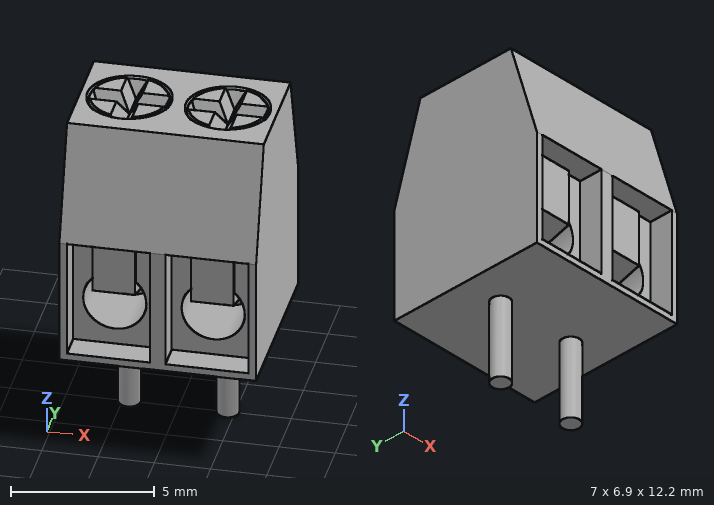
import cadquery as cq
import math

width = 7.0
depth = 6.9
total_height = 12.2
body_height = 8.8
shoulder_height = 4.67
top_depth = 4.39

pitch = width / 2
terminal_centers = [-pitch / 2, pitch / 2]

pin_diameter = 0.8
pin_length = total_height - body_height

pocket_width = 2.95
pocket_bottom = 0.28
pocket_depth = 1.04
hole_radius = 1.12
hole_height = 2.0
leaf_width = 1.5
leaf_proud = 0.16
leaf_front_bottom = 2.4
leaf_back_bottom = 1.62

wall_taper = math.radians(30)
screw_radius = 1.37
bore_radius = 1.5
recess_radius = 1.44
recess_width = 0.77

front_y = -depth / 2
pocket_floor_y = front_y + pocket_depth
leaf_front_y = pocket_floor_y - leaf_proud
hole_back_y = 0.0


def make_housing():
    """Side outline carried across the full width."""
    return (
        cq.Workplane("YZ")
        .moveTo(-depth / 2, 0)
        .lineTo(depth / 2, 0)
        .lineTo(depth / 2, shoulder_height)
        .lineTo(top_depth / 2, body_height)
        .lineTo(-top_depth / 2, body_height)
        .lineTo(-depth / 2, shoulder_height)
        .close()
        .extrude(width / 2, both=True)
    )


def make_wire_entry(x):
    """Pocket and blind hole, with the clamp leaf left standing in both."""
    pocket_height = shoulder_height - pocket_bottom
    pocket = (
        cq.Workplane("XY", origin=(x, front_y, pocket_bottom))
        .box(pocket_width, pocket_depth, pocket_height, centered=(True, False, False))
    )
    hole = (
        cq.Workplane("XZ", origin=(x, hole_back_y, hole_height))
        .circle(hole_radius)
        .extrude(hole_back_y - pocket_floor_y)
    )
    leaf = (
        cq.Workplane("YZ", origin=(x, 0, 0))
        .moveTo(leaf_front_y, leaf_front_bottom)
        .lineTo(hole_back_y, leaf_back_bottom)
        .lineTo(hole_back_y, shoulder_height)
        .lineTo(leaf_front_y, shoulder_height)
        .close()
        .extrude(leaf_width / 2, both=True)
    )
    return pocket.union(hole).cut(leaf)


def make_ring_groove(x):
    """V-shaped ring between the screw head and its bore."""
    groove_depth = (bore_radius - screw_radius) / 2 / math.tan(wall_taper)
    return (
        cq.Workplane("XZ", origin=(x, 0, body_height))
        .moveTo(screw_radius, 0)
        .lineTo(bore_radius, 0)
        .lineTo((screw_radius + bore_radius) / 2, -groove_depth)
        .close()
        .revolve(360, (0, 0), (0, 1))
    )


def make_cross_recess(x):
    """Two crossing V slots whose ends lie on a cone narrowing downward."""
    recess_depth = recess_width / 2 / math.tan(wall_taper)
    slot = (
        cq.Workplane("YZ")
        .moveTo(-recess_width / 2, 0)
        .lineTo(recess_width / 2, 0)
        .lineTo(0, -recess_depth)
        .close()
        .extrude(recess_radius, both=True)
    )
    cross = slot.union(slot.rotate((0, 0, 0), (0, 0, 1), 90))
    cone = (
        cq.Workplane("XZ")
        .lineTo(recess_radius, 0)
        .lineTo(recess_radius - recess_width / 2, -recess_depth)
        .lineTo(0, -recess_depth)
        .close()
        .revolve(360, (0, 0), (0, 1))
    )
    return cross.intersect(cone).translate((x, 0, body_height))


def make_pin(x):
    """Round pin hanging from the housing underside."""
    return cq.Workplane("XY", origin=(x, 0, 0)).circle(pin_diameter / 2).extrude(-pin_length)


result = make_housing()
for center_x in terminal_centers:
    result = (
        result.cut(make_wire_entry(center_x))
        .cut(make_ring_groove(center_x))
        .cut(make_cross_recess(center_x))
        .union(make_pin(center_x))
    )